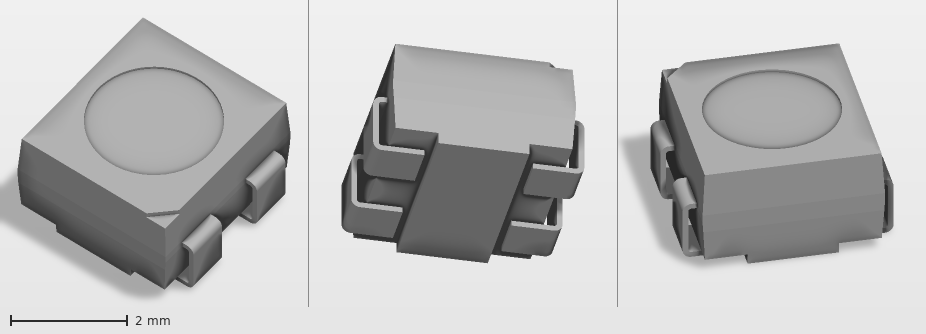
import cadquery as cq
import math

overall_width = 3.7
body_width = 3.2
body_length = 3.5
body_height = 1.95

band_top = 1.15
end_band_bottom = 1.0
side_band_bottom = 0.8
wall_draft = 3.6

foot_width = 1.6
foot_height = 0.2

window_diameter = 2.4
window_depth = 0.05
marker_leg = 0.4
marker_depth = 0.1

lead_thickness = 0.1
lead_width = 0.8
lead_pitch = 1.78
lead_top = end_band_bottom + lead_thickness
lead_foot_length = 0.9
lead_outer_radius = 0.15
lead_inner_radius = lead_outer_radius - lead_thickness
lead_embed = 0.1


def draft_inset(height):
    """Horizontal inset of a drafted wall over the given height."""
    return height * math.tan(math.radians(wall_draft))


def drafted_prism(plane, width, depth, band_bottom):
    """Prism centred on Z whose two walls are vertical in the band and drafted beyond it."""
    half_band = width / 2
    half_top = half_band - draft_inset(body_height - band_top)
    half_bottom = half_band - draft_inset(band_bottom)
    outline = [
        (-half_bottom, 0),
        (half_bottom, 0),
        (half_band, band_bottom),
        (half_band, band_top),
        (half_top, body_height),
        (-half_top, body_height),
        (-half_band, band_top),
        (-half_band, band_bottom),
    ]
    return cq.Workplane(plane).polyline(outline).close().extrude(depth / 2, both=True)


def make_body():
    """Moulded body: the overlap of the prisms that shape the end and side walls."""
    end_walls = drafted_prism("XZ", body_width, body_length, end_band_bottom)
    side_walls = drafted_prism("YZ", body_length, body_width, side_band_bottom)
    return end_walls.intersect(side_walls)


def make_foot_relief(side):
    """Space removed under the body beside the foot; side is +1 for +X or -1 for -X."""
    relief_width = (body_width - foot_width) / 2
    centre_x = side * (foot_width + relief_width) / 2
    return (
        cq.Workplane("XY")
        .center(centre_x, 0)
        .rect(relief_width, body_length)
        .extrude(foot_height)
    )


def make_window():
    """Shallow round recess in the top face."""
    return (
        cq.Workplane("XY", origin=(0, 0, body_height))
        .circle(window_diameter / 2)
        .extrude(-window_depth)
    )


def make_corner_marker():
    """Triangular step at the +X, -Y corner of the top face."""
    top_inset = draft_inset(body_height - band_top)
    top_corner_x = body_width / 2 - top_inset
    top_corner_y = -body_length / 2 + top_inset
    cut_leg = 2 * marker_leg
    corner_x = top_corner_x + marker_leg / 2
    corner_y = top_corner_y - marker_leg / 2
    triangle = [
        (corner_x, corner_y),
        (corner_x, corner_y + cut_leg),
        (corner_x - cut_leg, corner_y),
    ]
    return (
        cq.Workplane("XY", origin=(0, 0, body_height))
        .polyline(triangle)
        .close()
        .extrude(-marker_depth)
    )


def make_lead(centre_y):
    """C-shaped lead on the -X side: out of the wall, down, and back under the body."""
    outer_x = -overall_width / 2
    inner_x = outer_x + lead_thickness
    root_x = -body_width / 2 + lead_embed
    tip_x = outer_x + lead_foot_length
    bend_x = outer_x + lead_outer_radius
    upper_bend_z = lead_top - lead_outer_radius
    lower_bend_z = lead_outer_radius
    return (
        cq.Workplane("XZ", origin=(0, centre_y, 0))
        .moveTo(root_x, lead_top)
        .lineTo(bend_x, lead_top)
        .radiusArc((outer_x, upper_bend_z), -lead_outer_radius)
        .lineTo(outer_x, lower_bend_z)
        .radiusArc((bend_x, 0), -lead_outer_radius)
        .lineTo(tip_x, 0)
        .lineTo(tip_x, lead_thickness)
        .lineTo(bend_x, lead_thickness)
        .radiusArc((inner_x, lower_bend_z), lead_inner_radius)
        .lineTo(inner_x, upper_bend_z)
        .radiusArc((bend_x, lead_top - lead_thickness), lead_inner_radius)
        .lineTo(root_x, lead_top - lead_thickness)
        .close()
        .extrude(lead_width / 2, both=True)
    )


result = make_body()
for side in (-1, 1):
    result = result.cut(make_foot_relief(side))
result = result.cut(make_window()).cut(make_corner_marker())

for centre_y in (-lead_pitch / 2, lead_pitch / 2):
    lead = make_lead(centre_y)
    result = result.union(lead).union(lead.mirror("YZ"))